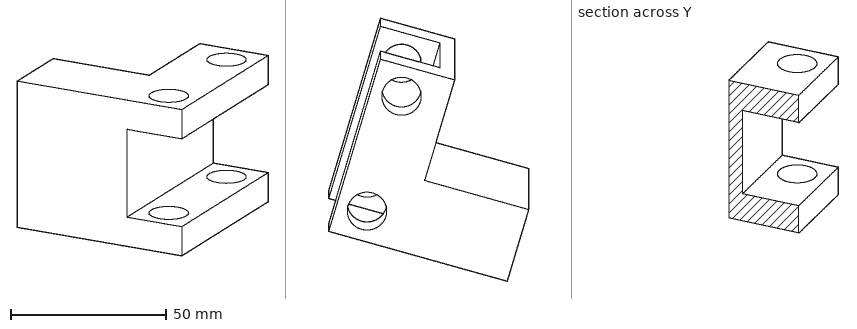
import cadquery as cq

length = 60.0
depth = 60.0
height = 50.0

leg_width = 25.0

flange_thickness = 10.0
slot_depth = 20.0

hole_diameter = 12.7
hole_edge_distance = 10.0


def make_body():
    """L-shaped block with one leg along X and the other along Y."""
    outline = [
        (0, 0),
        (length, 0),
        (length, depth),
        (length - leg_width, depth),
        (length - leg_width, leg_width),
        (0, leg_width),
    ]
    return cq.Workplane("XY").polyline(outline).close().extrude(height)


def make_slot():
    """Slot open to +X that runs the full depth of the block along Y."""
    slot_height = height - 2 * flange_thickness
    return (
        cq.Workplane("XY")
        .box(slot_depth, depth, slot_height, centered=False)
        .translate((length - slot_depth, 0, flange_thickness))
    )


def make_holes():
    """Vertical pin holes, one near each end of the slotted leg."""
    hole_x = length - hole_edge_distance
    centers = [(hole_x, y) for y in (hole_edge_distance, depth - hole_edge_distance)]
    return cq.Workplane("XY").pushPoints(centers).circle(hole_diameter / 2).extrude(height)


result = make_body().cut(make_slot()).cut(make_holes())